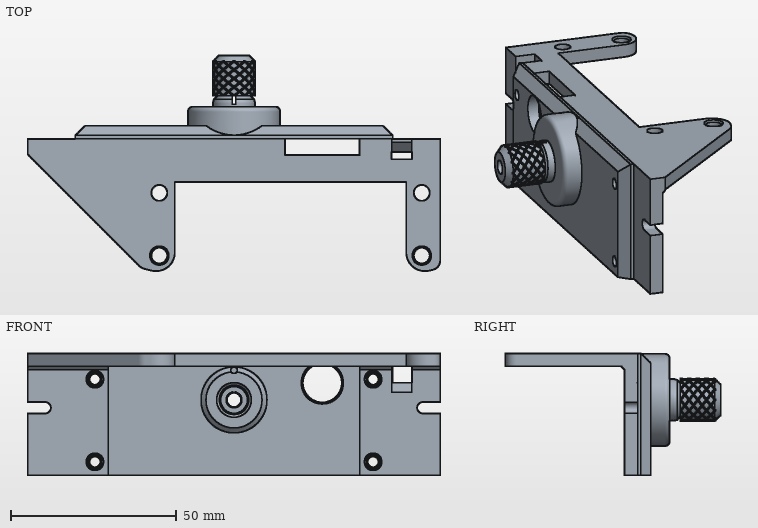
import cadquery as cq
import math

LENGTH = 124.8
HEIGHT = 37.0
MID_X = 62.4
SHEET = 4.0

CORNER_CHAMFER = 1.0
WINDOW_WIDTH = 76.1
LEFT_ARM_X = 39.8
RIGHT_ARM_X = 119.2
ARM_HALF_WIDTH = 4.7
ARM_RADIUS = 5.7
ARM_TIP_Y = -40.0
ARM_HOLE_Y = -35.3
INNER_HOLE_Y = -16.3
SHELF_EDGE_Y = -13.1
SHORT_SIDE = 4.7
TIP_ANGLE = 14.0
LEFT_TIP_FILLET = 3.7
RIGHT_TIP_FILLET = 3.0
INNER_HOLE_DIAMETER = 4.7
TIP_HOLE_DIAMETER = 4.7
TIP_RIM_DIAMETER = 5.7
SCREW_HOLE_DIAMETER = 4.2
SCREW_RIM_DIAMETER = 5.2
SIDE_SLOT_DEPTH = 7.0
SIDE_SLOT_WIDTH = 3.4
SIDE_SLOT_Z = 20.5
SHELF_SLOT_WIDTH = 22.5
SHELF_SLOT_DEPTH = 4.9
NOTCH_X = 110.1
NOTCH_WIDTH = 6.1
NOTCH_DEPTH = 6.1
NOTCH_FLOOR_Z = 28.1
NOTCH_BEVEL = 3.0

PLATE_WIDTH = 96.1
PLATE_BEVEL = 3.0
WALL_SCREW_SPACING_X = 84.1
WALL_SCREW_Z = (4.1, 29.1)
PLATE_SCREW_DIAMETER = 3.2
SIDE_HOLE_X = 89.1
SIDE_HOLE_Z = 28.0
SIDE_HOLE_RIM = 12.7
SIDE_HOLE_CHAMFER = 0.5

AXIS_Z = 22.8
FLANGE_DIAMETER = 28.0
FLANGE_TOP = 9.7
FLANGE_FILLET = 1.5
FLANGE_SEAT = SHEET - PLATE_BEVEL
SPIGOT_DIAMETER = 20.0
SPIGOT_CHAMFER = 1.5
STEM_DIAMETER = 8.9
STEM_RIM_DIAMETER = 10.5
STEM_CHAMFER = 0.4
DIMPLE_DIAMETER = 2.0
DIMPLE_DEPTH = 1.5
COLLET_DIAMETER = 12.7
COLLET_SHOULDER_DIAMETER = 12.2
COLLET_TIP_DIAMETER = 10.0
COLLET_BAND_TOP = 11.0
COLLET_SHOULDER_Y = 12.0
COLLET_TOP = 20.0
COLLET_BORE = 4.7
COLLET_SLOT_WIDTH = 1.0
COLLET_SLOT_FLOOR = 10.5
KNOB_DIAMETER = 13.0
KNOB_BOTTOM = 13.0
KNOB_TOP = 25.2
KNOB_CHAMFER = 1.9
KNOB_BORE = 4.2
KNURL_COUNT = 12
KNURL_DEPTH = 0.2
KNURL_HALF_WIDTH = 0.31
KNURL_PITCH = 2.6
KNURL_OUTSIDE = 0.6


def hole_along_y(x, z, diameter, y_start, y_end):
    """A cylinder along Y for cutting."""
    return cq.Workplane("XZ", origin=(x, y_start, z)).circle(diameter / 2).extrude(y_start - y_end)


def revolved_about_axis(points):
    """Turn (radius, Y) points into a solid around the clamp axis."""
    profile = cq.Workplane("XY").polyline(points).close()
    return profile.revolve(360, (0, 0, 0), (0, 1, 0)).translate((MID_X, 0, AXIS_Z))


def wall_screw_places():
    half = WALL_SCREW_SPACING_X / 2
    return [(x, z) for x in (MID_X - half, MID_X + half) for z in WALL_SCREW_Z]


def shelf_outline():
    """Bracket outline from above, with the rounded arm tips."""
    angle = math.radians(TIP_ANGLE)
    slope = math.tan(angle)
    left_inner_x = LEFT_ARM_X + ARM_HALF_WIDTH
    right_inner_x = RIGHT_ARM_X - ARM_HALF_WIDTH
    arc_y = ARM_TIP_Y + ARM_RADIUS
    left_arc_x = left_inner_x - ARM_RADIUS
    right_arc_x = right_inner_x + ARM_RADIUS
    arc_end_y = arc_y - ARM_RADIUS * math.cos(angle)
    run = ARM_RADIUS * math.sin(angle)

    left_end_x = left_arc_x - run
    corner_x = -(SHORT_SIDE + arc_end_y + slope * left_end_x) / (1 - slope)
    right_end_x = right_arc_x + run
    right_corner_y = arc_end_y + slope * (LENGTH - right_end_x)

    blank = (
        cq.Workplane("XY")
        .moveTo(0, 0)
        .lineTo(0, -SHORT_SIDE)
        .lineTo(corner_x, -SHORT_SIDE - corner_x)
        .lineTo(left_end_x, arc_end_y)
        .threePointArc((left_arc_x, ARM_TIP_Y), (left_inner_x, arc_y))
        .lineTo(left_inner_x, SHELF_EDGE_Y)
        .lineTo(right_inner_x, SHELF_EDGE_Y)
        .lineTo(right_inner_x, arc_y)
        .threePointArc((right_arc_x, ARM_TIP_Y), (right_end_x, arc_end_y))
        .lineTo(LENGTH, right_corner_y)
        .lineTo(LENGTH, 0)
        .close()
        .extrude(HEIGHT)
    )
    mid_z = HEIGHT / 2
    blank = blank.edges(
        cq.selectors.NearestToPointSelector((corner_x, -SHORT_SIDE - corner_x, mid_z))
    ).fillet(LEFT_TIP_FILLET)
    return blank.edges(
        cq.selectors.NearestToPointSelector((LENGTH, right_corner_y, mid_z))
    ).fillet(RIGHT_TIP_FILLET)


def angle_section():
    """L section of wall and shelf, swept along the whole length."""
    shelf_under = HEIGHT - SHEET
    points = [
        (0, 0),
        (0, HEIGHT),
        (ARM_TIP_Y, HEIGHT),
        (ARM_TIP_Y, shelf_under),
        (-SHEET - CORNER_CHAMFER, shelf_under),
        (-SHEET, shelf_under - CORNER_CHAMFER),
        (-SHEET, 0),
    ]
    return cq.Workplane("YZ").polyline(points).close().extrude(LENGTH)


def chamfered_hole(diameter, rim_diameter, depth):
    """Hole along Z from 0 down, with a 45 degree chamfered rim at 0."""
    points = [
        (0, 0),
        (rim_diameter / 2, 0),
        (diameter / 2, (diameter - rim_diameter) / 2),
        (diameter / 2, -depth),
        (0, -depth),
    ]
    return cq.Workplane("XZ").polyline(points).close().revolve(360, (0, 0, 0), (0, 1, 0))


def make_bracket():
    bracket = shelf_outline().intersect(angle_section())

    window_height = HEIGHT - SHEET
    window = cq.Workplane("XY").box(WINDOW_WIDTH, 4 * SHEET, window_height, centered=(True, True, False))
    bracket = bracket.cut(window.translate((MID_X, 0, 0)))

    for end_x, outward in ((SIDE_SLOT_DEPTH, -1), (LENGTH - SIDE_SLOT_DEPTH, 1)):
        centre_x = end_x + outward * SIDE_SLOT_WIDTH / 2
        bracket = bracket.cut(hole_along_y(centre_x, SIDE_SLOT_Z, SIDE_SLOT_WIDTH, 0, -SHEET))
        opening = cq.Workplane("XY").box(2 * SIDE_SLOT_DEPTH, SHEET, SIDE_SLOT_WIDTH)
        opening_x = centre_x + outward * SIDE_SLOT_DEPTH
        bracket = bracket.cut(opening.translate((opening_x, -SHEET / 2, SIDE_SLOT_Z)))

    shelf_slot = cq.Workplane("XY").box(SHELF_SLOT_WIDTH, 2 * SHELF_SLOT_DEPTH, SHEET)
    bracket = bracket.cut(shelf_slot.translate((SIDE_HOLE_X, 0, HEIGHT - SHEET / 2)))

    notch_points = [
        (0, HEIGHT),
        (0, NOTCH_FLOOR_Z),
        (NOTCH_BEVEL - SHEET, NOTCH_FLOOR_Z),
        (-SHEET, NOTCH_FLOOR_Z - NOTCH_BEVEL),
        (-NOTCH_DEPTH, NOTCH_FLOOR_Z - NOTCH_BEVEL),
        (-NOTCH_DEPTH, HEIGHT),
    ]
    notch = cq.Workplane("YZ", origin=(NOTCH_X, 0, 0)).polyline(notch_points).close().extrude(NOTCH_WIDTH)
    bracket = bracket.cut(notch)

    tip_hole = chamfered_hole(TIP_HOLE_DIAMETER, TIP_RIM_DIAMETER, SHEET)
    for x in (LEFT_ARM_X, RIGHT_ARM_X):
        inner = cq.Workplane("XY").circle(INNER_HOLE_DIAMETER / 2).extrude(HEIGHT)
        bracket = bracket.cut(inner.translate((x, INNER_HOLE_Y, 0)))
        bracket = bracket.cut(tip_hole.translate((x, ARM_HOLE_Y, HEIGHT)))

    wall_hole = chamfered_hole(SCREW_HOLE_DIAMETER, SCREW_RIM_DIAMETER, SHEET)
    wall_hole = wall_hole.rotate((0, 0, 0), (1, 0, 0), 90)
    for x, z in wall_screw_places():
        bracket = bracket.cut(wall_hole.translate((x, -SHEET, z)))
    return bracket


def make_plate():
    plate = cq.Workplane("XY").box(PLATE_WIDTH, SHEET, HEIGHT, centered=(True, False, False))
    plate = plate.translate((MID_X, 0, 0))
    plate = plate.faces(">Y").edges("|Z or >Z").chamfer(PLATE_BEVEL)

    for x, z in wall_screw_places():
        plate = plate.cut(hole_along_y(x, z, PLATE_SCREW_DIAMETER, SHEET, 0))

    side_hole = hole_along_y(SIDE_HOLE_X, SIDE_HOLE_Z, SIDE_HOLE_RIM - 2 * SIDE_HOLE_CHAMFER, SHEET, 0)
    plate = plate.cut(side_hole)
    rim = cq.Workplane("XZ", origin=(SIDE_HOLE_X, 0, SIDE_HOLE_Z)).circle(SIDE_HOLE_RIM / 2)
    plate = plate.cut(rim.extrude(-SIDE_HOLE_CHAMFER, taper=45))

    plate = plate.cut(hole_along_y(MID_X, AXIS_Z, FLANGE_DIAMETER, SHEET, FLANGE_SEAT))
    return plate.cut(hole_along_y(MID_X, AXIS_Z, SPIGOT_DIAMETER, SHEET, 0))


def make_flange():
    stem_radius = STEM_DIAMETER / 2
    rim_radius = STEM_RIM_DIAMETER / 2
    spigot_radius = SPIGOT_DIAMETER / 2
    flange = revolved_about_axis([
        (stem_radius, rim_radius - stem_radius),
        (rim_radius, 0),
        (spigot_radius - SPIGOT_CHAMFER, 0),
        (spigot_radius, SPIGOT_CHAMFER),
        (spigot_radius, FLANGE_SEAT),
        (FLANGE_DIAMETER / 2, FLANGE_SEAT),
        (FLANGE_DIAMETER / 2, FLANGE_TOP),
        (stem_radius, FLANGE_TOP),
    ])
    outer_edge = flange.faces(">Y").edges(cq.selectors.RadiusNthSelector(-1))
    flange = outer_edge.fillet(FLANGE_FILLET)
    dimple_z = AXIS_Z + SPIGOT_DIAMETER / 2 - DIMPLE_DIAMETER / 2
    return flange.cut(hole_along_y(MID_X, dimple_z, DIMPLE_DIAMETER, DIMPLE_DEPTH, 0))


def make_collet():
    stem_radius = STEM_DIAMETER / 2
    stem_end = (STEM_RIM_DIAMETER - STEM_DIAMETER) / 2
    bore_radius = COLLET_BORE / 2
    collet = revolved_about_axis([
        (bore_radius, stem_end),
        (stem_radius - STEM_CHAMFER, stem_end),
        (stem_radius, stem_end + STEM_CHAMFER),
        (stem_radius, FLANGE_TOP),
        (COLLET_DIAMETER / 2, FLANGE_TOP),
        (COLLET_DIAMETER / 2, COLLET_BAND_TOP),
        (COLLET_SHOULDER_DIAMETER / 2, COLLET_SHOULDER_Y),
        (COLLET_TIP_DIAMETER / 2, KNOB_BOTTOM),
        (COLLET_TIP_DIAMETER / 2, COLLET_TOP),
        (bore_radius, COLLET_TOP),
    ])
    slot_length = COLLET_TOP - COLLET_SLOT_FLOOR
    slot = cq.Workplane("XY").box(COLLET_SLOT_WIDTH, slot_length, KNOB_DIAMETER, centered=(True, False, True))
    return collet.cut(slot.translate((MID_X, COLLET_SLOT_FLOOR, AXIS_Z)))


def knurl_cell():
    """Smallest repeating wedge of the knurled bar, on the Z axis.

    One V groove crosses it from corner to corner; its sides are mirror planes of the diamond pattern.
    """
    radius = KNOB_DIAMETER / 2
    overshoot = 1 + KNURL_OUTSIDE / KNURL_DEPTH
    wedge_angle = 180 / KNURL_COUNT
    wedge = cq.Workplane("XZ").rect(radius, KNURL_PITCH / 2, centered=False)
    wedge = wedge.revolve(wedge_angle, (0, 0, 0), (0, 1, 0))
    groove = cq.Workplane("XY").polyline([
        (radius - KNURL_DEPTH, 0),
        (radius + KNURL_OUTSIDE, -KNURL_HALF_WIDTH * overshoot),
        (radius + KNURL_OUTSIDE, KNURL_HALF_WIDTH * overshoot),
    ]).close().twistExtrude(KNURL_PITCH / 2, wedge_angle)
    return wedge.cut(groove)


def knurled_bar():
    """Bar along Z with crossed grooves, closed from mirrored and turned copies of the cell skin."""
    cell = knurl_cell()
    skin = [face for face in cell.val().Faces() if face.geomType() != "PLANE"]
    bottom = cell.faces("<Z").vals()
    rows = math.ceil((KNOB_TOP - KNOB_BOTTOM) / KNURL_PITCH)
    strip = [face.translate(cq.Vector(0, 0, rows * KNURL_PITCH)) for face in bottom] + bottom
    for row in range(rows):
        lift = cq.Vector(0, 0, row * KNURL_PITCH)
        strip += [face.translate(lift) for face in skin]
        strip += [face.mirror("XY").translate(lift + cq.Vector(0, 0, KNURL_PITCH)) for face in skin]
    strip += [face.mirror("XZ") for face in strip]
    origin, axis = cq.Vector(0, 0, 0), cq.Vector(0, 0, 1)
    faces = [face.rotate(origin, axis, 360 / KNURL_COUNT * i) for i in range(KNURL_COUNT) for face in strip]
    return cq.Workplane(cq.Solid.makeSolid(cq.Shell.makeShell(faces))).clean()


def make_knob():
    radius = KNOB_DIAMETER / 2
    turned = revolved_about_axis([
        (COLLET_TIP_DIAMETER / 2, KNOB_BOTTOM),
        (radius + KNURL_OUTSIDE, KNOB_BOTTOM),
        (radius + KNURL_OUTSIDE, KNOB_TOP - KNOB_CHAMFER - KNURL_OUTSIDE),
        (radius - KNOB_CHAMFER, KNOB_TOP),
        (KNOB_BORE / 2, KNOB_TOP),
        (KNOB_BORE / 2, COLLET_TOP),
        (COLLET_TIP_DIAMETER / 2, COLLET_TOP),
    ])
    bar = knurled_bar().rotate((0, 0, 0), (1, 0, 0), -90).translate((MID_X, KNOB_BOTTOM, AXIS_Z))
    return bar.intersect(turned)


bracket = make_bracket()
plate = make_plate()
flange = make_flange()
collet = make_collet()
knob = make_knob()

result = cq.Compound.makeCompound([bracket.val(), plate.val(), flange.val(), collet.val(), knob.val()])